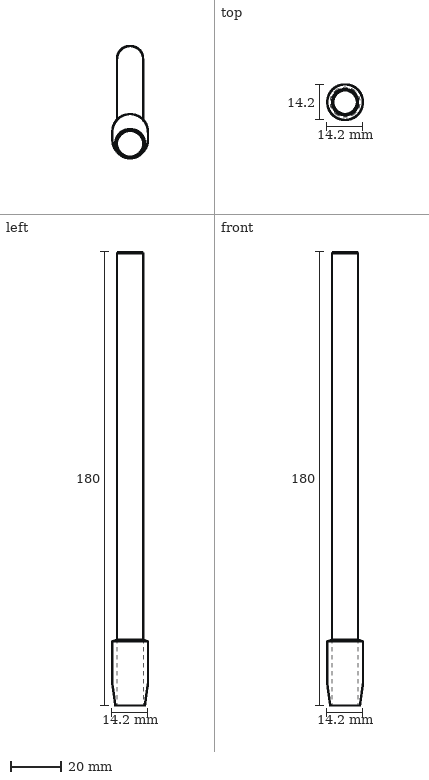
import cadquery as cq

TOTAL_HEIGHT = 180.0

SLEEVE_DIAMETER = 14.2
SLEEVE_HEIGHT = 26.1
SLEEVE_TOP_RISE = 0.7
TAPER_HEIGHT = 8.5
TAPER_END_DIAMETER = 11.9

ROD_DIAMETER = 10.5
ROD_CHAMFER_HEIGHT = 0.7
ROD_CHAMFER_WIDTH = 0.5


def make_rod():
    """Full-length round rod with a chamfered top edge."""
    radius = ROD_DIAMETER / 2
    profile = [
        (0, 0),
        (radius, 0),
        (radius, TOTAL_HEIGHT - ROD_CHAMFER_HEIGHT),
        (radius - ROD_CHAMFER_WIDTH, TOTAL_HEIGHT),
        (0, TOTAL_HEIGHT),
    ]
    return cq.Workplane("XZ").polyline(profile).close().revolve(360, (0, 0, 0), (0, 1, 0))


def make_sleeve():
    """Ring around the foot of the rod, with a tapered lower end and a top that slopes up to the rod."""
    bore_radius = ROD_DIAMETER / 2
    outer_radius = SLEEVE_DIAMETER / 2
    profile = [
        (bore_radius, 0),
        (TAPER_END_DIAMETER / 2, 0),
        (outer_radius, TAPER_HEIGHT),
        (outer_radius, SLEEVE_HEIGHT - SLEEVE_TOP_RISE),
        (bore_radius, SLEEVE_HEIGHT),
    ]
    return cq.Workplane("XZ").polyline(profile).close().revolve(360, (0, 0, 0), (0, 1, 0))


rod = make_rod()
sleeve = make_sleeve()

result = cq.Compound.makeCompound([rod.val(), sleeve.val()])